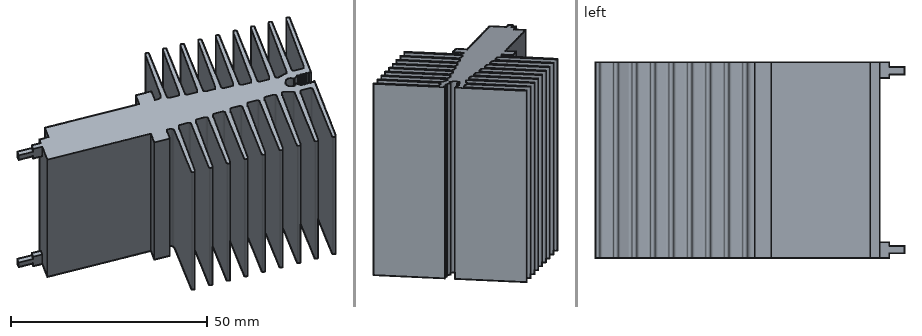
import cadquery as cq

LENGTH = 78.85
WIDTH = 40.0
HEIGHT = 50.0

FIN_COUNT = 9
FIN_TIP_RADIUS = 0.51
FIN_TIP_CENTER_X = WIDTH / 2 - FIN_TIP_RADIUS
FIN_ROOT_X = 3.15
FIN_ROOT_HALF_THICKNESS = 0.7
FIN_ROOT_RADIUS = 0.6
FIRST_FIN_Y = -FIN_TIP_RADIUS
LAST_FIN_Y = -38.2
FIN_PITCH = (FIRST_FIN_Y - LAST_FIN_Y) / (FIN_COUNT - 1)
CUT_MARGIN = 0.8

SLOT_GAP_CORE = 3.2
NECK_GAP_CORE_START = 3.15
NECK_GAP_CORE_END = 2.1
CORE_START = 2.5
STEM_HALF_WIDTH = 5.0
CORE_STEP = 0.4

THREAD_PITCH = 0.8
THREAD_COUNT = 5
THREAD_CREST_X = 1.35
THREAD_VALLEY_X = 1.65
LIP_X = 0.8
LIP_DEPTH = 4.65
SLOT_FLOOR_RADIUS = 1.35
SLOT_FLOOR_DEPTH = 7.25

COLLAR_WIDTH = 15.8
COLLAR_START = 40.7
COLLAR_END = 44.9
COLLAR_GAP_RADIUS = 1.0
STEP_START = 70.1
STEP_X = -1.8
STEM_END = 72.55

PIN_THICKNESS = 1.3
PIN_BASE_HEIGHT = 4.1
PIN_BASE_END = 75.0
PIN_TIP_HEIGHT = 2.0
PIN_TIP_INSET = 1.2


def block(x_min, x_max, depth_start, depth_end, z_min=-HEIGHT / 2, z_max=HEIGHT / 2):
    """Box between two distances from the finned end."""
    size = (x_max - x_min, depth_end - depth_start, z_max - z_min)
    corner = (x_min, -depth_end, z_min)
    return cq.Workplane("XY").box(*size, centered=False).translate(corner)


def extrude_outline(points):
    """Prism of the full height over a closed outline."""
    return cq.Workplane("XY", origin=(0, 0, -HEIGHT / 2)).polyline(points).close().extrude(HEIGHT)


def fin_half_thickness(x):
    """Half the fin thickness at a distance x from the middle."""
    share = (x - FIN_ROOT_X) / (FIN_TIP_CENTER_X - FIN_ROOT_X)
    return FIN_ROOT_HALF_THICKNESS + share * (FIN_TIP_RADIUS - FIN_ROOT_HALF_THICKNESS)


def gap_core(gap):
    """Half width of the core at the start and the end of a gap."""
    if gap == 0:
        return SLOT_GAP_CORE, SLOT_GAP_CORE
    if gap == 1:
        return NECK_GAP_CORE_START, NECK_GAP_CORE_END
    half_width = CORE_START + (gap - 2) * CORE_STEP
    return half_width, half_width


def fin_gap(gap):
    """Cutter on the +X side between one fin and the next, with rounded inner corners."""
    upper_fin_y = FIRST_FIN_Y - gap * FIN_PITCH
    lower_fin_y = upper_fin_y - FIN_PITCH
    start_x, end_x = gap_core(gap)
    outer_x = FIN_TIP_CENTER_X + CUT_MARGIN
    cutter = extrude_outline([
        (start_x, upper_fin_y - fin_half_thickness(start_x)),
        (outer_x, upper_fin_y - fin_half_thickness(outer_x)),
        (outer_x, lower_fin_y + fin_half_thickness(outer_x)),
        (end_x, lower_fin_y + fin_half_thickness(end_x)),
    ])
    return cutter.faces("<X").edges("|Z").fillet(FIN_ROOT_RADIUS)


def collar_gap():
    """Cutter on the +X side between the last fin and the collar, rounded only at the fin."""
    outer_x = FIN_TIP_CENTER_X + CUT_MARGIN
    cutter = extrude_outline([
        (STEM_HALF_WIDTH, LAST_FIN_Y - fin_half_thickness(STEM_HALF_WIDTH)),
        (outer_x, LAST_FIN_Y - fin_half_thickness(outer_x)),
        (outer_x, -COLLAR_START),
        (STEM_HALF_WIDTH, -COLLAR_START),
    ])
    return cutter.faces("<X").edges("|Z").edges(">Y").fillet(COLLAR_GAP_RADIUS)


def fin_tips():
    """Round bars that close the fin ends on both sides."""
    centers = []
    for fin in range(FIN_COUNT):
        fin_y = FIRST_FIN_Y - fin * FIN_PITCH
        centers += [(-FIN_TIP_CENTER_X, fin_y), (FIN_TIP_CENTER_X, fin_y)]
    plane = cq.Workplane("XY", origin=(0, 0, -HEIGHT / 2))
    return plane.pushPoints(centers).circle(FIN_TIP_RADIUS).extrude(HEIGHT)


def fin_pack():
    """Core with tapered, round-tipped fins on both sides."""
    pack = block(-FIN_TIP_CENTER_X, FIN_TIP_CENTER_X, 0, COLLAR_START)
    cutters = [fin_gap(gap) for gap in range(FIN_COUNT - 1)]
    cutters.append(collar_gap())
    for cutter in cutters:
        pack = pack.cut(cutter).cut(cutter.mirror("YZ"))
    return pack.union(fin_tips())


def screw_slot():
    """Cutter with toothed walls, a pinched lip and a round floor."""
    wall = []
    for tooth in range(THREAD_COUNT):
        wall.append((THREAD_CREST_X, -tooth * THREAD_PITCH))
        wall.append((THREAD_VALLEY_X, -(tooth + 0.5) * THREAD_PITCH))
    wall.append((THREAD_CREST_X, -THREAD_COUNT * THREAD_PITCH))
    wall.append((LIP_X, -LIP_DEPTH))
    floor_center_y = SLOT_FLOOR_RADIUS - SLOT_FLOOR_DEPTH
    wall.append((LIP_X, floor_center_y))
    mirrored_wall = [(-x, y) for x, y in reversed(wall)]
    throat = extrude_outline(wall + mirrored_wall)
    floor = (
        cq.Workplane("XY", origin=(0, floor_center_y, -HEIGHT / 2))
        .circle(SLOT_FLOOR_RADIUS)
        .extrude(HEIGHT)
    )
    return throat.union(floor)


def stem():
    """Collar and stepped stem."""
    half = STEM_HALF_WIDTH
    body = block(-half, half, COLLAR_START, STEP_START)
    body = body.union(block(STEP_X, half, STEP_START, STEM_END))
    return body.union(block(-COLLAR_WIDTH / 2, COLLAR_WIDTH / 2, COLLAR_START, COLLAR_END))


def top_pin():
    """Pin at the top of the stem's end face."""
    half = PIN_THICKNESS / 2
    top = HEIGHT / 2
    tip_top = top - PIN_TIP_INSET
    base = block(-half, half, STEM_END, PIN_BASE_END, top - PIN_BASE_HEIGHT, top)
    tip = block(-half, half, PIN_BASE_END, LENGTH, tip_top - PIN_TIP_HEIGHT, tip_top)
    return base.union(tip)


body = fin_pack().union(stem())
body = body.cut(screw_slot())
pin = top_pin()
result = body.union(pin).union(pin.mirror("XY"))